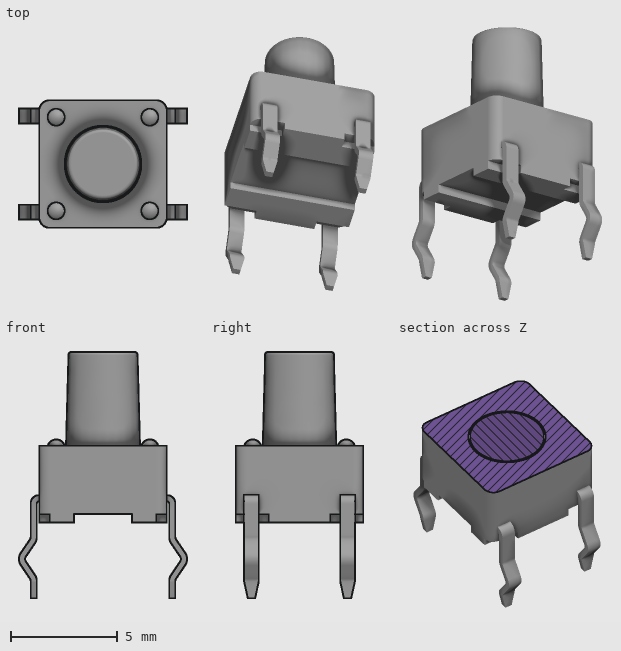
import cadquery as cq


total_height = 11.55
plunger_rise = 4.4
lead_drop = 3.55

housing_side = 6.0
housing_top = total_height - plunger_rise - lead_drop
corner_radius = 1.0 / 2

relief_height = 0.39
channel_width = 2.7
pocket_depth = corner_radius
pocket_inner_y = 1.44

rivet_diameter = 0.8
rivet_height = 0.3
rivet_offset = 2.2

seat_diameter = 3.6
seat_depth = 0.3
plunger_base_diameter = 3.5
plunger_top_diameter = 3.25
plunger_edge_radius = 0.15

lead_thickness = 0.3
lead_width = 0.7
lead_pitch = 4.5
lead_centre_x = 3.25
lead_top = 1.29
shoulder_outer_radius = 0.8 / 2
kink_outer_radius = 1.0 / 2
kink_above_tip = 1.84
kink_half_height = 0.92
kink_reach = 0.62
tip_length = 0.8
tip_width = lead_width / 2
lead_embed = 0.23


def make_relieved_block():
    """Rounded square block with the channel and corner pockets cut into its underside."""
    block = (
        cq.Workplane("XY")
        .rect(housing_side, housing_side)
        .extrude(housing_top)
        .edges("|Z")
        .fillet(corner_radius)
    )
    channel = (
        cq.Workplane("XY")
        .rect(channel_width, housing_side)
        .extrude(relief_height)
    )
    pocket_length = housing_side / 2 - pocket_inner_y
    pockets = (
        cq.Workplane("XY")
        .rect(housing_side - pocket_depth, housing_side - pocket_length, forConstruction=True)
        .vertices()
        .rect(pocket_depth, pocket_length)
        .extrude(relief_height)
    )
    return block.cut(channel).cut(pockets)


def make_rivet_head():
    """Spherical cap standing on the housing top, centred on the Z axis."""
    base_radius = rivet_diameter / 2
    sphere_radius = (base_radius**2 + rivet_height**2) / (2 * rivet_height)
    return (
        cq.Workplane("XZ", origin=(0, 0, housing_top))
        .lineTo(base_radius, 0)
        .radiusArc((0, rivet_height), -sphere_radius)
        .close()
        .revolve(360, (0, 0, 0), (0, 1, 0))
    )


def round_corner(wire, corner, radius):
    """Replace the wire's vertex at the given corner by an arc."""
    nearest = min(wire.Vertices(), key=lambda vertex: (vertex.Center() - corner).Length)
    return wire.fillet2D(radius, [nearest])


def make_lead_silhouette():
    """Lead shape across its width: a straight band that tapers at the tip, extruded along X."""
    return (
        cq.Workplane("YZ")
        .moveTo(-lead_width / 2, lead_top)
        .lineTo(-lead_width / 2, tip_length - lead_drop)
        .lineTo(-tip_width / 2, -lead_drop)
        .lineTo(tip_width / 2, -lead_drop)
        .lineTo(lead_width / 2, tip_length - lead_drop)
        .lineTo(lead_width / 2, lead_top)
        .close()
        .extrude(housing_side)
    )


def make_lead():
    """Bent strip on the +X side, centred on Y = 0, with a tapered tip."""
    arm_z = lead_top - lead_thickness / 2
    kink_z = kink_above_tip - lead_drop
    start = cq.Vector(housing_side / 2 - lead_embed, 0, arm_z)
    shoulder = cq.Vector(lead_centre_x, 0, arm_z)
    upper_bend = cq.Vector(lead_centre_x, 0, kink_z + kink_half_height)
    kink = cq.Vector(lead_centre_x + kink_reach, 0, kink_z)
    lower_bend = cq.Vector(lead_centre_x, 0, kink_z - kink_half_height)
    tip = cq.Vector(lead_centre_x, 0, -lead_drop)

    path = cq.Wire.makePolygon([start, shoulder, upper_bend, kink, lower_bend, tip])
    path = round_corner(path, shoulder, shoulder_outer_radius - lead_thickness / 2)
    for bend in (upper_bend, kink, lower_bend):
        path = round_corner(path, bend, kink_outer_radius - lead_thickness / 2)

    strip = (
        cq.Workplane("YZ", origin=start.toTuple())
        .rect(lead_width, lead_thickness)
        .sweep(cq.Workplane(path))
    )
    return strip.intersect(make_lead_silhouette())


def make_housing():
    """Relieved block with the plunger seat, four rivet heads and four leads."""
    housing = make_relieved_block()
    seat = (
        cq.Workplane("XY")
        .workplane(offset=housing_top - seat_depth)
        .circle(seat_diameter / 2)
        .extrude(seat_depth)
    )
    housing = housing.cut(seat)
    rivet = make_rivet_head()
    right_lead = make_lead()
    left_lead = right_lead.mirror("YZ")
    for y_side in (-1, 1):
        for x_side in (-1, 1):
            housing = housing.union(rivet.translate((x_side * rivet_offset, y_side * rivet_offset, 0)))
        for lead in (left_lead, right_lead):
            housing = housing.union(lead.translate((0, y_side * lead_pitch / 2, 0)))
    return housing


def make_plunger():
    """Tapered round button standing on the seat floor, with a rounded top edge."""
    seat_floor = housing_top - seat_depth
    plunger_top = housing_top + plunger_rise
    return (
        cq.Workplane("XZ")
        .moveTo(0, seat_floor)
        .lineTo(plunger_base_diameter / 2, seat_floor)
        .lineTo(plunger_top_diameter / 2, plunger_top)
        .lineTo(0, plunger_top)
        .close()
        .revolve(360, (0, 0, 0), (0, 1, 0))
        .faces(">Z")
        .edges()
        .fillet(plunger_edge_radius)
    )


housing = make_housing()
plunger = make_plunger()

result = cq.Compound.makeCompound([housing.val(), plunger.val()])